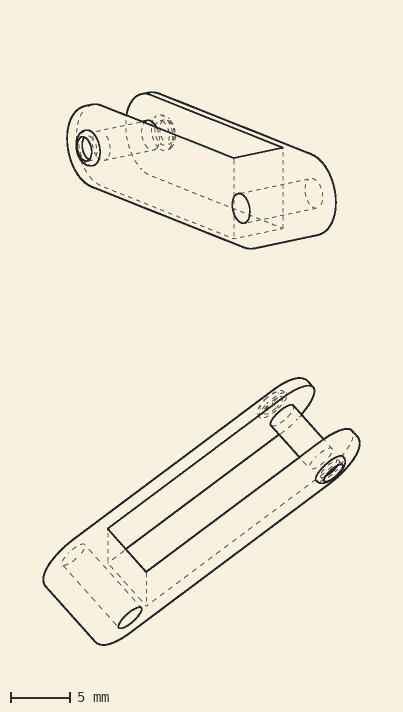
import cadquery as cq

length = 28.95
height = 7.12
body_width = 7.6
edge_radius = 0.5

slot_width = 5.15
slot_depth = 22.65

pin_diameter = 2.55
head_diameter = 3.07
overall_width = 8.63
head_edge_radius = 0.5

center_distance = length - height
pin_x = -center_distance / 2
hole_x = center_distance / 2
recess_diameter = head_diameter - 2 * head_edge_radius


def cylinder_along_y(diameter, width, x):
    """Cylinder with its axis along Y, centered on the middle plane of the link."""
    return cq.Workplane("XZ").center(x, 0).circle(diameter / 2).extrude(width / 2, both=True)


def make_body():
    """Round-ended bar with rounded outer rims, an open slot and a cross hole."""
    bar = (
        cq.Workplane("XZ")
        .slot2D(length, height)
        .extrude(body_width / 2, both=True)
        .faces("<Y or >Y")
        .edges()
        .fillet(edge_radius)
    )
    slot = (
        cq.Workplane("XY")
        .box(slot_depth, slot_width, height, centered=(False, True, True))
        .translate((-length / 2, 0, 0))
    )
    hole = cylinder_along_y(pin_diameter, body_width, hole_x)
    return bar.cut(slot).cut(hole)


def make_pin():
    """Pin across the slot; each head is a rounded ring whose recess reaches the cheek face."""
    shank = cylinder_along_y(pin_diameter, body_width, pin_x)
    heads = (
        cylinder_along_y(head_diameter, overall_width, pin_x)
        .faces("<Y or >Y")
        .edges()
        .fillet(head_edge_radius)
    )
    between_heads = cylinder_along_y(head_diameter, body_width, pin_x)
    recesses = cylinder_along_y(recess_diameter, overall_width, pin_x)
    return heads.cut(between_heads).cut(recesses).union(shank)


result = make_body().union(make_pin())